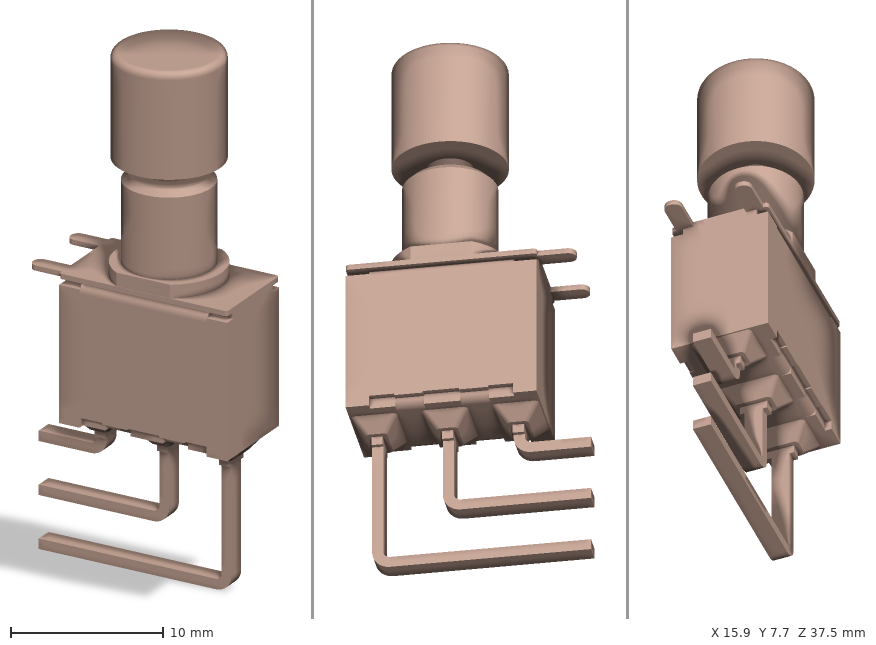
import cadquery as cq


TOTAL_HEIGHT = 37.45
BODY_BOTTOM = 10.7
PLATE_TOP = 21.42
WASHER_TOP = 22.4
BUSHING_TOP = 28.72
BUTTON_BOTTOM = 29.85

BODY_LENGTH = 12.75
BODY_DEPTH = 6.85
PLATE_THICKNESS = 0.37
BODY_TOP = PLATE_TOP - PLATE_THICKNESS
RECESS_LENGTH = 9.62
SHOULDER_RADIUS = 0.75
NOTCH_DEPTH = 0.82
NOTCH_HEIGHT = 0.45
RECESS_DEPTH = 0.45
RECESS_HEIGHT = 0.7
GAP_RADIUS = 0.6
GAP_LENGTH = 1.9
GAP_OFFSET = 2.17

PLATE_CORNER_RADIUS = 0.22
PRONG_LENGTH = 2.5
PRONG_WIDTH = 1.2
PRONG_OFFSET = 2.47
PRONG_TIP_RADIUS = 0.55

WASHER_DIAMETER = 7.95
WASHER_FLATS_WIDTH = 6.8
BUSHING_DIAMETER = 6.33
BUSHING_CHAMFER = 0.45
STEM_DIAMETER = 3.1
BUTTON_DIAMETER = 7.7
BUTTON_EDGE_RADIUS = 0.5

LEAD_PITCH = 4.7
LEAD_DROP = 3.85
LEAD_TIP_X = -9.5
LEAD_THICKNESS = 0.75
LEAD_WIDTH = 1.27
LEAD_INNER_RADIUS = 0.45
LEAD_SHOULDER_WIDTH = 1.9
LEAD_SHOULDER_BOTTOM = 9.1
SEAL_HEIGHT = 1.0
SEAL_LENGTH = 3.07
SEAL_WIDTH = 4.27
SEAL_INSET = 0.82
SEAL_CORNER_RADIUS = 0.3


def box(length, depth, bottom, top, x=0, y=0):
    """Box centred on (x, y) that spans bottom to top along Z."""
    return cq.Workplane("XY", origin=(x, y, bottom)).rect(length, depth).extrude(top - bottom)


def cylinder(diameter, bottom, top):
    return cq.Workplane("XY", origin=(0, 0, bottom)).circle(diameter / 2).extrude(top - bottom)


def edge_bar(length, y, z, radius, up, x=0):
    """Bar along X whose removal rounds the long edge at (y, z) of a face that looks toward -Y.

    up is 1 for the top edge of the face and -1 for its bottom edge.
    """
    section = cq.Workplane("YZ", origin=(x - length / 2, y, z))
    square = section.center(radius / 2, -up * radius / 2).rect(radius, radius).extrude(length)
    axis_section = cq.Workplane("YZ", origin=(x - length / 2, y + radius, z - up * radius))
    rod = axis_section.circle(radius).extrude(length)
    return square.cut(rod)


def front_cuts():
    """Material removed along the top and bottom edges of the front face."""
    face_y = -BODY_DEPTH / 2
    cuts = edge_bar(RECESS_LENGTH, face_y, BODY_TOP, SHOULDER_RADIUS, up=1)

    notch_length = (BODY_LENGTH - RECESS_LENGTH) / 2
    for side in (-1, 1):
        notch_x = side * (BODY_LENGTH - notch_length) / 2
        notch_y = face_y + NOTCH_DEPTH / 2
        cuts = cuts.union(box(notch_length, NOTCH_DEPTH, BODY_TOP - NOTCH_HEIGHT, BODY_TOP, notch_x, notch_y))

    recess_y = face_y + RECESS_DEPTH / 2
    recess = box(RECESS_LENGTH, RECESS_DEPTH, BODY_BOTTOM, BODY_BOTTOM + RECESS_HEIGHT, y=recess_y)
    for side in (-1, 1):
        gap_x = side * GAP_OFFSET
        roof = BODY_BOTTOM + GAP_RADIUS
        recess = recess.cut(box(GAP_LENGTH, RECESS_DEPTH, roof, roof + RECESS_HEIGHT, gap_x, recess_y))
        rounding = edge_bar(GAP_LENGTH, face_y + RECESS_DEPTH, BODY_BOTTOM, GAP_RADIUS, up=-1, x=gap_x)
        recess = recess.union(rounding)
    return cuts.union(recess)


def housing():
    block = box(BODY_LENGTH, BODY_DEPTH, BODY_BOTTOM, BODY_TOP)
    cuts = front_cuts()
    return block.cut(cuts).cut(cuts.mirror("XZ"))


def plate():
    """Mounting plate with two prongs that reach past the -X end."""
    sheet = box(BODY_LENGTH, BODY_DEPTH, BODY_TOP, PLATE_TOP)
    sheet = sheet.edges("|Z").fillet(PLATE_CORNER_RADIUS)
    root_x = -BODY_LENGTH / 2 + PLATE_CORNER_RADIUS
    tip_x = -BODY_LENGTH / 2 - PRONG_LENGTH
    prong_length = root_x - tip_x
    prong_x = (root_x + tip_x) / 2
    for side in (-1, 1):
        prong = box(prong_length, PRONG_WIDTH, BODY_TOP, PLATE_TOP, prong_x, side * PRONG_OFFSET)
        sheet = sheet.union(prong.edges("|Z and <X").fillet(PRONG_TIP_RADIUS))
    return sheet


def plunger():
    """Washer with two flats, bushing, stem and button."""
    washer = cylinder(WASHER_DIAMETER, PLATE_TOP, WASHER_TOP)
    washer = washer.intersect(box(WASHER_DIAMETER, WASHER_FLATS_WIDTH, PLATE_TOP, WASHER_TOP))
    bushing = cylinder(BUSHING_DIAMETER, WASHER_TOP, BUSHING_TOP)
    bushing = bushing.faces(">Z").edges().chamfer(BUSHING_CHAMFER)
    stem = cylinder(STEM_DIAMETER, BUSHING_TOP, BUTTON_BOTTOM)
    button = cylinder(BUTTON_DIAMETER, BUTTON_BOTTOM, TOTAL_HEIGHT)
    button = button.faces(">Z").edges().fillet(BUTTON_EDGE_RADIUS)
    return washer.union(bushing).union(stem).union(button)


def seal(x):
    """Tapered seal with rounded corners where a lead leaves the body."""
    top = cq.Sketch().rect(SEAL_LENGTH, SEAL_WIDTH).vertices().fillet(SEAL_CORNER_RADIUS)
    bottom = cq.Sketch().rect(SEAL_LENGTH - 2 * SEAL_INSET, SEAL_WIDTH - 2 * SEAL_INSET)
    bottom = bottom.vertices().fillet(SEAL_CORNER_RADIUS)
    top_plane = cq.Workplane("XY", origin=(x, 0, BODY_BOTTOM))
    return top_plane.placeSketch(top, bottom.moved(cq.Location(cq.Vector(0, 0, -SEAL_HEIGHT)))).loft()


def lead(x, bottom):
    """Flat lead that drops from the seal at x and bends toward -X."""
    seal_bottom = BODY_BOTTOM - SEAL_HEIGHT
    outer_radius = LEAD_INNER_RADIUS + LEAD_THICKNESS
    left = x - LEAD_THICKNESS / 2
    right = x + LEAD_THICKNESS / 2
    profile = (
        cq.Workplane("XZ", origin=(0, LEAD_WIDTH / 2, 0))
        .moveTo(right, seal_bottom)
        .lineTo(right, bottom + outer_radius)
        .radiusArc((right - outer_radius, bottom), outer_radius)
        .lineTo(LEAD_TIP_X, bottom)
        .lineTo(LEAD_TIP_X, bottom + LEAD_THICKNESS)
        .lineTo(left - LEAD_INNER_RADIUS, bottom + LEAD_THICKNESS)
        .radiusArc((left, bottom + outer_radius), -LEAD_INNER_RADIUS)
        .lineTo(left, seal_bottom)
        .close()
    )
    shoulder = box(LEAD_THICKNESS, LEAD_SHOULDER_WIDTH, LEAD_SHOULDER_BOTTOM, seal_bottom, x)
    return profile.extrude(LEAD_WIDTH).union(shoulder)


result = housing().union(plate()).union(plunger())
for position in (-1, 0, 1):
    lead_x = position * LEAD_PITCH
    lead_bottom = (1 - position) * LEAD_DROP
    result = result.union(seal(lead_x)).union(lead(lead_x, lead_bottom))